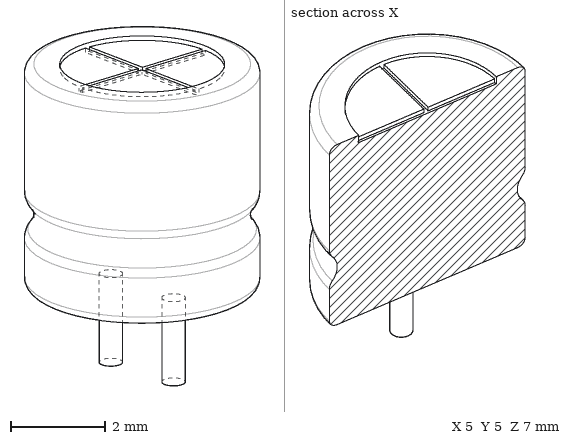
import cadquery as cq
import math

can_diameter = 5.0
can_height = 5.0
can_radius = can_diameter / 2
rim_fillet = 0.2

groove_center_z = 1.61
groove_depth = 0.2
groove_radius = 0.5
groove_lip_radius = 0.3

recess_diameter = 3.5
recess_depth = 0.1
score_width = 0.11
score_depth = 0.1

pin_diameter = 0.5
pin_spacing = 2.0
left_pin_length = 2.0
right_pin_length = 1.9


def arc_point(center_r, center_z, radius, angle):
    """Point on an arc in the radius-height plane."""
    return (center_r + radius * math.cos(angle), center_z + radius * math.sin(angle))


def make_can():
    """Revolve the half section: plain cylinder wall with a groove whose lips are rounded."""
    sweep = math.acos(1 - groove_depth / (groove_radius + groove_lip_radius))
    half_height = (groove_radius + groove_lip_radius) * math.sin(sweep)
    lip_center_r = can_radius - groove_lip_radius
    lower_lip_z = groove_center_z - half_height
    upper_lip_z = groove_center_z + half_height
    neck_radius = can_radius - groove_depth

    section = (
        cq.Workplane("XZ")
        .lineTo(can_radius, 0)
        .lineTo(can_radius, lower_lip_z)
        .threePointArc(
            arc_point(lip_center_r, lower_lip_z, groove_lip_radius, sweep / 2),
            arc_point(lip_center_r, lower_lip_z, groove_lip_radius, sweep),
        )
        .threePointArc(
            (neck_radius, groove_center_z),
            arc_point(lip_center_r, upper_lip_z, groove_lip_radius, -sweep),
        )
        .threePointArc(
            arc_point(lip_center_r, upper_lip_z, groove_lip_radius, -sweep / 2),
            (can_radius, upper_lip_z),
        )
        .lineTo(can_radius, can_height)
        .lineTo(0, can_height)
        .close()
    )
    can = section.revolve(360, (0, 0, 0), (0, 1, 0))
    return can.faces("<Z or >Z").edges().fillet(rim_fillet)


def make_recess():
    """Cutter for the top recess."""
    return cq.Workplane("XY").workplane(offset=can_height).circle(recess_diameter / 2).extrude(-recess_depth)


def make_score_cross():
    """Cutter for the crossed score lines, ending at the recess wall."""
    floor = cq.Workplane("XY").workplane(offset=can_height - recess_depth)
    along_x = floor.rect(recess_diameter, score_width).extrude(-score_depth)
    along_y = floor.rect(score_width, recess_diameter).extrude(-score_depth)
    boundary = floor.circle(recess_diameter / 2).extrude(-score_depth)
    return along_x.union(along_y).intersect(boundary)


def make_pin(x, length):
    """Round pin hanging from the can's bottom face."""
    return cq.Workplane("XY").center(x, 0).circle(pin_diameter / 2).extrude(-length)


result = (
    make_can()
    .cut(make_recess())
    .cut(make_score_cross())
    .union(make_pin(-pin_spacing / 2, left_pin_length))
    .union(make_pin(pin_spacing / 2, right_pin_length))
)